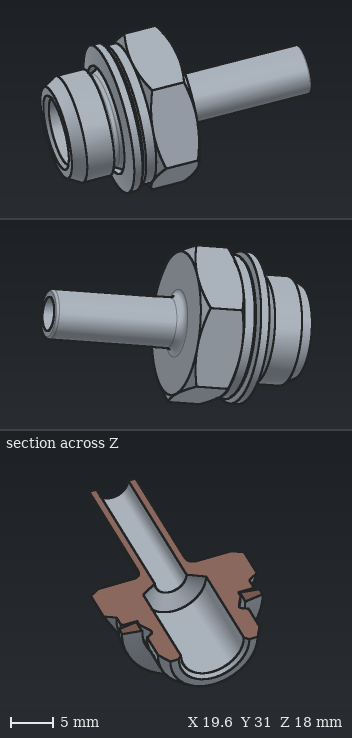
import cadquery as cq
import math

total_length = 31.0

hex_across_flats = 17.0
hex_front_y = 9.5
hex_back_y = 15.0
hex_chamfer_angle = 30.0

flange_radius = hex_across_flats / 2
flange_face_y = 8.0
flange_chamfer = 0.25

thread_radius = 6.5
tip_chamfer_radial = 0.92
tip_chamfer_length = 1.6

shoulder_radius = thread_radius
undercut_radius = 5.62
undercut_runout_angle = 30.0
undercut_fillet = 0.42
undercut_taper_angle = 30.0
undercut_taper_start_y = 5.93

stem_radius = 3.0
stem_root_fillet = 1.0
stem_end_fillet = 0.3

through_radius = 2.0
bore_radius = 4.0
bore_depth = 12.0
bore_tip_angle = 118.0
bore_mouth_chamfer = 0.5

washer_outer_radius = 9.0
washer_inner_radius = 6.58
washer_rim_width = 1.03
washer_cone_angle = 9.0


def revolve_about_y(profile):
    """Turn a closed profile of (radius, Y) points about the Y axis."""
    return profile.close().revolve(360, (0, 0, 0), (0, 1, 0))


def make_turned_blank():
    """Thread, undercut, shoulder, flange and stem, still without hexagon and bore."""
    taper = math.radians(undercut_taper_angle)
    runout = math.radians(undercut_runout_angle)
    centre_radius = undercut_radius + undercut_fillet
    centre_y = undercut_taper_start_y - undercut_fillet * math.sin(taper)

    def fillet_point(angle):
        return (
            centre_radius - undercut_fillet * math.cos(angle),
            centre_y + undercut_fillet * math.sin(angle),
        )

    front_angle = runout - math.pi / 2
    fillet_front = fillet_point(front_angle)
    fillet_middle = fillet_point((front_angle + taper) / 2)
    fillet_back = fillet_point(taper)
    runout_start_y = fillet_front[1] - (thread_radius - fillet_front[0]) * math.tan(runout)
    shoulder_start_y = fillet_back[1] + (shoulder_radius - fillet_back[0]) / math.tan(taper)

    corner_gap = 1 - math.sqrt(0.5)
    root_gap = stem_root_fillet * corner_gap
    end_gap = stem_end_fillet * corner_gap
    profile = (
        cq.Workplane("XY")
        .moveTo(0, 0)
        .lineTo(thread_radius - tip_chamfer_radial, 0)
        .lineTo(thread_radius, tip_chamfer_length)
        .lineTo(thread_radius, runout_start_y)
        .lineTo(*fillet_front)
        .threePointArc(fillet_middle, fillet_back)
        .lineTo(shoulder_radius, shoulder_start_y)
        .lineTo(shoulder_radius, flange_face_y)
        .lineTo(flange_radius - flange_chamfer, flange_face_y)
        .lineTo(flange_radius, flange_face_y + flange_chamfer)
        .lineTo(flange_radius, hex_back_y)
        .lineTo(stem_radius + stem_root_fillet, hex_back_y)
        .threePointArc(
            (stem_radius + root_gap, hex_back_y + root_gap),
            (stem_radius, hex_back_y + stem_root_fillet),
        )
        .lineTo(stem_radius, total_length - stem_end_fillet)
        .threePointArc(
            (stem_radius - end_gap, total_length - end_gap),
            (stem_radius - stem_end_fillet, total_length),
        )
        .lineTo(0, total_length)
    )
    return revolve_about_y(profile)


def make_hexagon():
    """Hexagon with corners on the X axis, chamfered conically at both ends."""
    corner_diameter = hex_across_flats / math.cos(math.pi / 6)
    corner_radius = corner_diameter / 2
    prism = (
        cq.Workplane("XZ", origin=(0, hex_front_y, 0))
        .polygon(6, corner_diameter)
        .extrude(hex_front_y - hex_back_y)
    )
    chamfer_length = (corner_radius - flange_radius) * math.tan(math.radians(hex_chamfer_angle))
    envelope = revolve_about_y(
        cq.Workplane("XY")
        .moveTo(0, hex_front_y)
        .lineTo(flange_radius, hex_front_y)
        .lineTo(corner_radius, hex_front_y + chamfer_length)
        .lineTo(corner_radius, hex_back_y - chamfer_length)
        .lineTo(flange_radius, hex_back_y)
        .lineTo(0, hex_back_y)
    )
    return prism.intersect(envelope)


def make_bore():
    """Through hole with a wide drilled bore at the threaded end."""
    cone_length = (bore_radius - through_radius) / math.tan(math.radians(bore_tip_angle / 2))
    profile = (
        cq.Workplane("XY")
        .moveTo(0, 0)
        .lineTo(bore_radius + bore_mouth_chamfer, 0)
        .lineTo(bore_radius, bore_mouth_chamfer)
        .lineTo(bore_radius, bore_depth)
        .lineTo(through_radius, bore_depth + cone_length)
        .lineTo(through_radius, total_length)
        .lineTo(0, total_length)
    )
    return revolve_about_y(profile)


def make_fitting():
    return make_turned_blank().union(make_hexagon()).cut(make_bore())


def make_sealing_washer():
    """Ring that thins conically towards its rim and touches the flange at its inner edge."""
    cone_length = (washer_outer_radius - washer_inner_radius) * math.tan(math.radians(washer_cone_angle))
    rim_back_y = flange_face_y - cone_length
    rim_front_y = rim_back_y - washer_rim_width
    profile = (
        cq.Workplane("XY")
        .moveTo(washer_inner_radius, flange_face_y)
        .lineTo(washer_outer_radius, rim_back_y)
        .lineTo(washer_outer_radius, rim_front_y)
        .lineTo(washer_inner_radius, rim_front_y - cone_length)
    )
    return revolve_about_y(profile)


fitting = make_fitting()
sealing_washer = make_sealing_washer()

result = cq.Compound.makeCompound([fitting.val(), sealing_washer.val()])